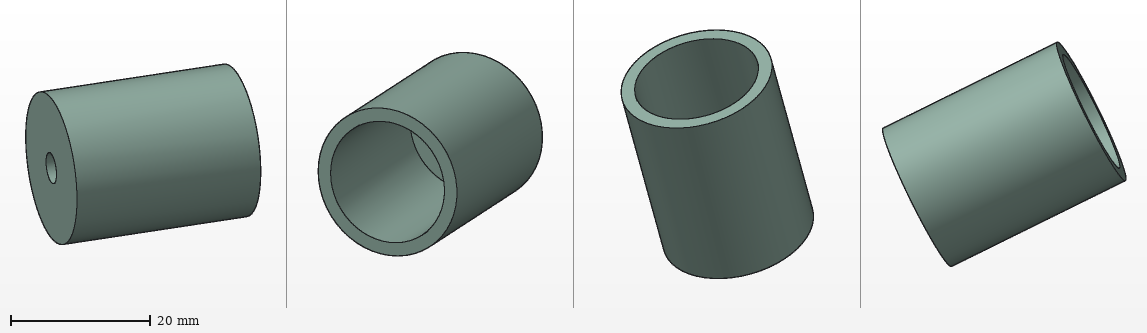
import cadquery as cq

length = 28.0
outer_diameter = 22.2
bore_diameter = 18.2
hole_diameter = 4.5
end_wall = 2.0


def cylinder_along_y(diameter, start, end):
    """Solid cylinder on the Y axis between two Y positions."""
    plane = cq.Workplane("XZ", origin=(0, start, 0))
    return plane.circle(diameter / 2).extrude(start - end)


front = -length / 2
back = length / 2

body = cylinder_along_y(outer_diameter, front, back)
bore = cylinder_along_y(bore_diameter, front + end_wall, back)
end_hole = cylinder_along_y(hole_diameter, front, front + end_wall)

result = body.cut(bore).cut(end_hole)